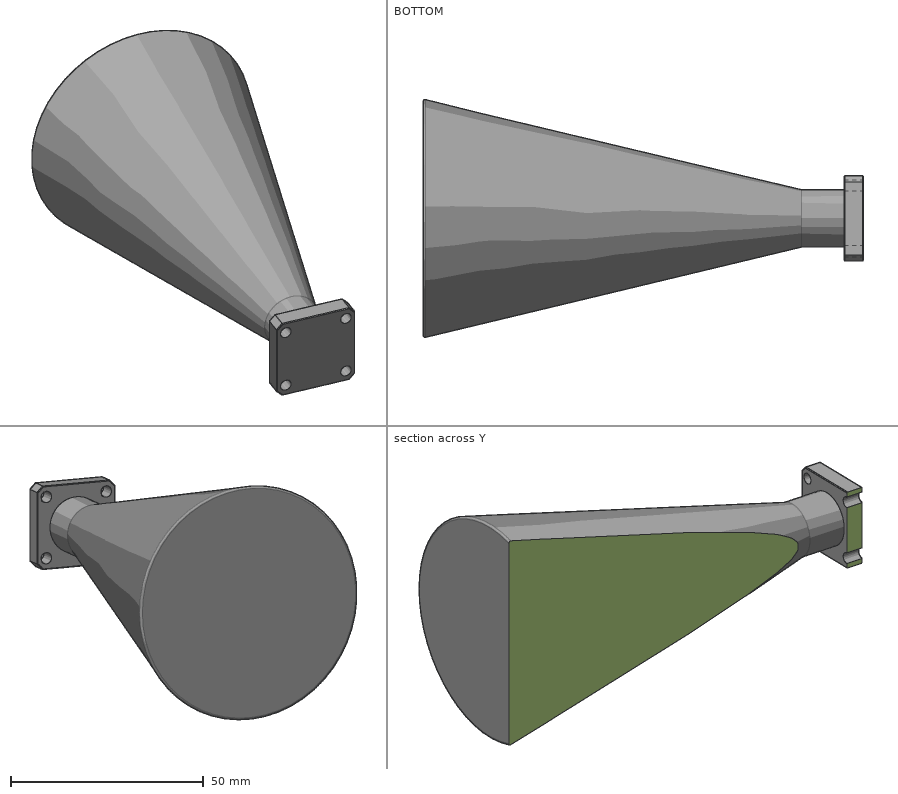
import cadquery as cq

total_length = 114.3
mouth_diameter = 61.8
rim_fillet = 0.6
cone_length = 98.2

neck_diameter = 15.0

flange_size = 22.2
flange_thickness = 5.0
corner_chamfer = 1.6
face_edge_chamfer = 0.2
hole_spacing_y = 17.0
hole_spacing_z = 16.2
hole_diameter = 3.0

flange_start = total_length - flange_thickness


def make_horn():
    """Solid cone and neck, revolved about X, with a rounded mouth rim."""
    profile = (
        cq.Workplane("XY")
        .lineTo(0, mouth_diameter / 2 - rim_fillet)
        .radiusArc((rim_fillet, mouth_diameter / 2), rim_fillet)
        .lineTo(cone_length, neck_diameter / 2)
        .lineTo(flange_start, neck_diameter / 2)
        .lineTo(flange_start, 0)
        .close()
    )
    return profile.revolve(360, (0, 0, 0), (1, 0, 0))


def make_flange():
    """Square plate with cut corners, bevelled faces and four through holes."""
    plate = (
        cq.Workplane("YZ", origin=(flange_start, 0, 0))
        .rect(flange_size, flange_size)
        .extrude(flange_thickness)
        .edges("|X")
        .chamfer(corner_chamfer)
        .faces("<X or >X")
        .edges()
        .chamfer(face_edge_chamfer)
    )
    holes = (
        cq.Workplane("YZ", origin=(flange_start, 0, 0))
        .rect(hole_spacing_y, hole_spacing_z, forConstruction=True)
        .vertices()
        .circle(hole_diameter / 2)
        .extrude(flange_thickness)
    )
    return plate.cut(holes)


result = make_horn().union(make_flange())